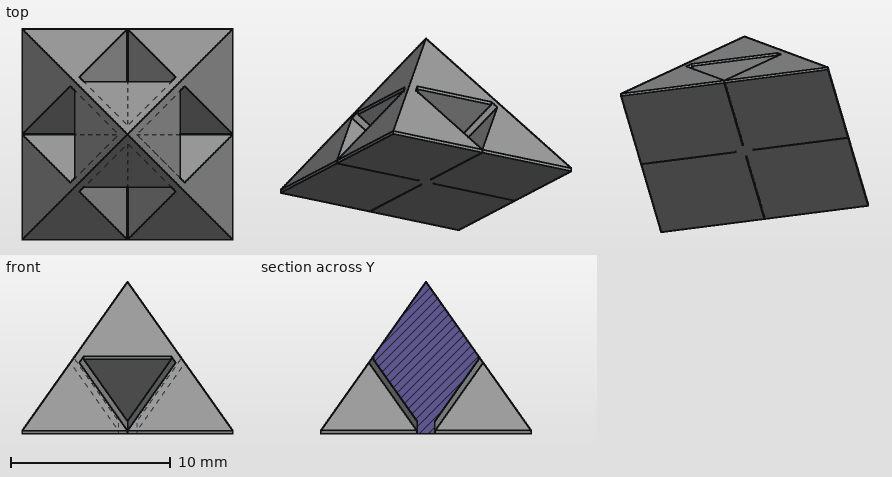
import cadquery as cq
import math

base_side = 13.21
slab_height = 0.2
diagonal_wall = 0.8
slit_width = 0.04

slope = math.sqrt(2)
half_side = base_side / 2
quarter_side = base_side / 4
pyramid_height = slope * half_side
small_height = pyramid_height / 2
notch_top = slab_height + small_height
wall_offset = diagonal_wall / math.sqrt(2)
slit_top = slab_height + slope * slit_width / 2


def make_pyramid():
    """Square pyramid standing on a thin slab, as two crossed triangular prisms."""
    outline = [
        (-half_side, 0),
        (half_side, 0),
        (half_side, slab_height),
        (0, slab_height + pyramid_height),
        (-half_side, slab_height),
    ]
    along_y = cq.Workplane("XZ").polyline(outline).close().extrude(half_side, both=True)
    along_x = cq.Workplane("YZ").polyline(outline).close().extrude(half_side, both=True)
    return along_y.intersect(along_x)


def make_notch():
    """Void in the -Y face between two corner pyramids and the inverted core."""
    valley = (
        cq.Workplane("XZ")
        .polyline([(0, slab_height), (quarter_side, notch_top), (-quarter_side, notch_top)])
        .close()
        .extrude(half_side)
    )
    depth = (
        cq.Workplane("YZ")
        .polyline([
            (0, 0),
            (-quarter_side, small_height),
            (-quarter_side, notch_top),
            (-half_side, notch_top),
            (-half_side, 0),
        ])
        .close()
        .extrude(half_side, both=True)
    )
    between_walls = (
        cq.Workplane("XY")
        .polyline([
            (0, -wall_offset),
            (half_side, -half_side - wall_offset),
            (-half_side, -half_side - wall_offset),
        ])
        .close()
        .extrude(notch_top)
    )
    return valley.intersect(depth).intersect(between_walls)


def make_slit():
    """Slit through the slab along the valley floor, ending at the diagonal walls."""
    return (
        cq.Workplane("XY")
        .center(0, -(half_side + wall_offset) / 2)
        .rect(slit_width, half_side - wall_offset)
        .extrude(slit_top)
    )


result = make_pyramid()
notch = make_notch().union(make_slit())
for quarter_turn in range(4):
    result = result.cut(notch.rotate((0, 0, 0), (0, 0, 1), 90 * quarter_turn))